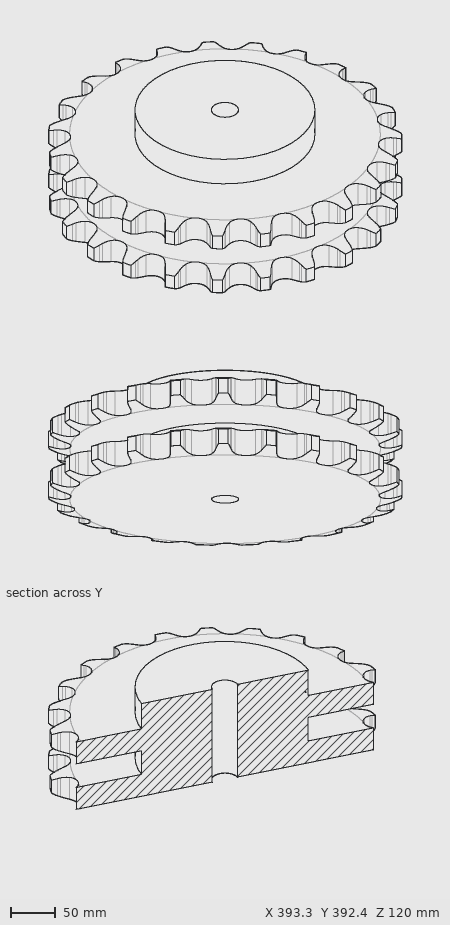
import cadquery as cq
import math

PITCH = 50.8
ROLLER_DIAMETER = 29.21
TEETH = 23
ROW_SPACING = 58.6

TIP_RADIUS = 196.8
PLATE_THICKNESS = 28.8
HUB_DIAMETER = 200.0
BORE_DIAMETER = 30.0
TOTAL_HEIGHT = 120.0

FACE_RADIUS = 172.8
RELIEF_RADIUS = 51.0

SEAT_DIAMETER_FACTOR = 1.005
SEAT_CLEARANCE = 0.0762
WORKING_OFFSET_FACTOR = 0.8
TOPPING_OFFSET_FACTOR = 1.4
SEAT_ANGLE = 35.0 + 60.0 / TEETH
WORKING_ANGLE = 18.0 - 56.0 / TEETH

TOOTH_ANGLE = 360.0 / TEETH
HALF_TOOTH_ANGLE = TOOTH_ANGLE / 2
FIRST_GAP_ANGLE = 90.0
PITCH_RADIUS = PITCH / 2 / math.sin(math.radians(HALF_TOOTH_ANGLE))


def polar(radius, degrees):
    """Point at a distance and direction from the origin."""
    angle = math.radians(degrees)
    return radius * math.cos(angle), radius * math.sin(angle)


def offset(point, radius, degrees):
    """Point at a distance and direction from another point."""
    dx, dy = polar(radius, degrees)
    return point[0] + dx, point[1] + dy


def rotate(point, degrees):
    """Point turned about the sprocket axis."""
    cosine, sine = polar(1.0, degrees)
    return point[0] * cosine - point[1] * sine, point[0] * sine + point[1] * cosine


def mirror(point):
    """Point mirrored across the gap's centre line, the Y axis."""
    return -point[0], point[1]


def half_gap_points():
    """Left flank of a tooth gap centred on +Y, from the root to the tooth tip (ASA tooth form)."""
    roller_centre = (0.0, PITCH_RADIUS)
    seat_radius = (SEAT_DIAMETER_FACTOR * ROLLER_DIAMETER + SEAT_CLEARANCE) / 2

    working_offset = WORKING_OFFSET_FACTOR * ROLLER_DIAMETER
    working_centre = offset(roller_centre, working_offset, SEAT_ANGLE)
    working_radius = seat_radius + working_offset
    root = offset(roller_centre, seat_radius, -90.0)
    seat_end = offset(roller_centre, seat_radius, 180.0 + SEAT_ANGLE)
    working_mid = offset(working_centre, working_radius, 180.0 + SEAT_ANGLE - WORKING_ANGLE / 2)
    flank_direction = SEAT_ANGLE - WORKING_ANGLE
    working_end = offset(working_centre, working_radius, 180.0 + flank_direction)

    topping_offset = TOPPING_OFFSET_FACTOR * ROLLER_DIAMETER
    topping_centre = offset(roller_centre, topping_offset, 180.0 + HALF_TOOTH_ANGLE)
    normal_x, normal_y = polar(1.0, flank_direction)
    reach_x = working_end[0] - topping_centre[0]
    reach_y = working_end[1] - topping_centre[1]
    topping_radius = reach_x * normal_x + reach_y * normal_y
    line_end = offset(topping_centre, topping_radius, flank_direction)

    centre_distance = math.hypot(*topping_centre)
    squares = TIP_RADIUS**2 - topping_radius**2 - centre_distance**2
    cos_tip = squares / (2 * topping_radius * centre_distance)
    centre_direction = math.degrees(math.atan2(topping_centre[1], topping_centre[0]))
    tip_direction = centre_direction - math.degrees(math.acos(cos_tip))
    tip = offset(topping_centre, topping_radius, tip_direction)
    topping_mid = offset(topping_centre, topping_radius, (flank_direction + tip_direction) / 2)

    return root, seat_end, working_mid, working_end, line_end, topping_mid, tip


def add_gap(outline, turn):
    """Continue the outline through the gap at the given turn, then across the next tooth tip."""
    left = [rotate(point, turn) for point in half_gap_points()]
    right = [rotate(mirror(point), turn) for point in half_gap_points()]
    root, seat_end, working_mid, working_end, line_end, topping_mid, _ = left
    _, far_seat_end, far_working_mid, far_working_end, far_line_end, far_topping_mid, far_tip = right
    tooth_top = polar(TIP_RADIUS, FIRST_GAP_ANGLE + turn - HALF_TOOTH_ANGLE)
    next_tip = rotate(half_gap_points()[-1], turn - TOOTH_ANGLE)
    return (
        outline.threePointArc(topping_mid, line_end)
        .lineTo(*working_end)
        .threePointArc(working_mid, seat_end)
        .threePointArc(root, far_seat_end)
        .threePointArc(far_working_mid, far_working_end)
        .lineTo(*far_line_end)
        .threePointArc(far_topping_mid, far_tip)
        .threePointArc(tooth_top, next_tip)
    )


def toothed_prism():
    """Straight-sided tooth outline, one plate thick, standing on the XY plane."""
    first_tip = half_gap_points()[-1]
    outline = cq.Workplane("XY").moveTo(*first_tip)
    for gap in range(TEETH):
        outline = add_gap(outline, -gap * TOOTH_ANGLE)
    return outline.close().extrude(PLATE_THICKNESS)


def relief_depth_at(width):
    """Depth of the relief arc below the flat face, at a distance outside the face edge."""
    return RELIEF_RADIUS - math.sqrt(RELIEF_RADIUS**2 - width**2)


def relief_blank():
    """Disc whose two faces curve in towards the rim, tangent to the flat faces."""
    relief_width = TIP_RADIUS - FACE_RADIUS
    mid_width = relief_width / 2
    relief_depth = relief_depth_at(relief_width)
    mid_depth = relief_depth_at(mid_width)
    mid_radius = FACE_RADIUS + mid_width
    return (
        cq.Workplane("XZ")
        .lineTo(FACE_RADIUS, 0)
        .threePointArc((mid_radius, mid_depth), (TIP_RADIUS, relief_depth))
        .lineTo(TIP_RADIUS, PLATE_THICKNESS - relief_depth)
        .threePointArc((mid_radius, PLATE_THICKNESS - mid_depth), (FACE_RADIUS, PLATE_THICKNESS))
        .lineTo(0, PLATE_THICKNESS)
        .close()
        .revolve(360, (0, 0, 0), (0, 1, 0))
    )


def round_bar(diameter):
    """Cylinder on the sprocket axis over the full height."""
    return cq.Workplane("XY").circle(diameter / 2).extrude(TOTAL_HEIGHT)


lower_plate = toothed_prism().intersect(relief_blank())
upper_plate = lower_plate.translate((0, 0, ROW_SPACING))
hub = round_bar(HUB_DIAMETER)
bore = round_bar(BORE_DIAMETER)

result = hub.union(lower_plate).union(upper_plate).cut(bore)